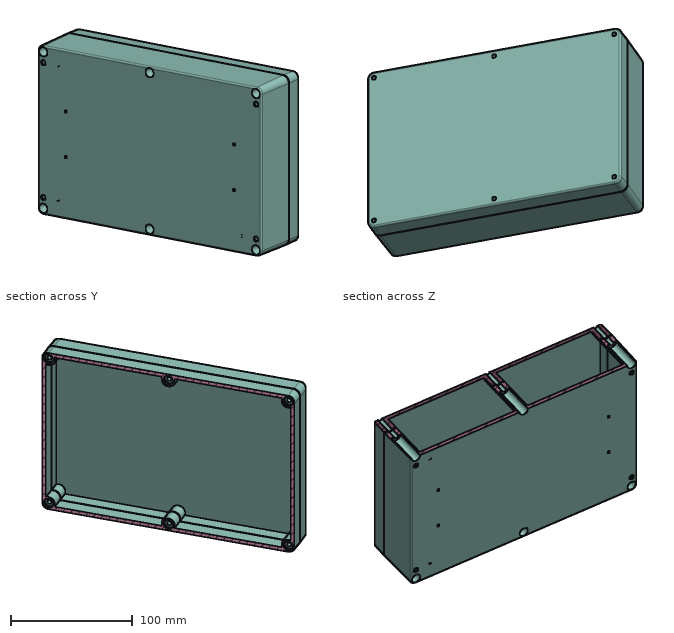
import cadquery as cq
import math


length = 222.0
depth = 55.0
height = 146.0
lid_depth = 15.0
seal_thickness = 0.9
housing_depth = depth - lid_depth - seal_thickness

housing_face_y = -depth / 2
housing_rim_y = housing_face_y + housing_depth
lid_rim_y = housing_rim_y + seal_thickness

corner_radius = 6.0
edge_radius = 1.5
draft_angle = 1.0
wall = 4.0

screw_inset = 6.0
screw_x = length / 2 - screw_inset
screw_z = height / 2 - screw_inset
screw_points = [(x, z) for x in (-screw_x, 0, screw_x) for z in (-screw_z, screw_z)]
screw_hole_diameter = 3.5
counterbore_diameter = 8.0
counterbore_depth = 30.0
screw_column_radius = 6.0

mount_z = 57.7
mount_diameter = 4.5
mount_depth = 1.5

floor_hole_skin = 0.5
pilot_x = 83.0
pilot_z = 19.5
pilot_diameter = 2.2
drill_x = 90.8
drill_z = 57.7
drill_diameter = 2.2
drill_tip_angle = 118.0


def four_points(x, z):
    """The point (x, z) and its mirror images about both axes."""
    return [(side_x * x, side_z * z) for side_x in (-1, 1) for side_z in (-1, 1)]


def plane_at(y):
    """Sketch plane at this Y: local x is X, local y is Z, the normal points to -Y."""
    return cq.Workplane("XZ", origin=(0, y, 0))


def cylinders(points, diameter, y_start, y_end):
    """Round bars along Y, from y_start to y_end."""
    return plane_at(y_start).pushPoints(points).circle(diameter / 2).extrude(y_start - y_end)


def outer_block(y_start, y_end, taper=0.0):
    """Block with round corners, of full size at y_start and narrowing by the taper angle to y_end."""
    outline = cq.Sketch().rect(length, height).vertices().fillet(corner_radius)
    return plane_at(y_start).placeSketch(outline).extrude(y_start - y_end, taper=taper)


def cavity(y_start, y_end):
    """Inner space, from y_start to y_end, that leaves the walls and the screw columns."""
    space = plane_at(y_start).rect(length - 2 * wall, height - 2 * wall).extrude(y_start - y_end)
    return space.cut(cylinders(screw_points, 2 * screw_column_radius, y_start, y_end))


def screw_holes():
    """Narrow holes that pass through all the bodies."""
    return cylinders(screw_points, screw_hole_diameter, depth / 2, -depth / 2)


def floor_holes():
    """Flat-bottomed pilot holes and point-bottomed drilled holes, open to the cavity."""
    floor_y = housing_face_y + wall
    bottom_y = housing_face_y + floor_hole_skin
    pilots = cylinders(four_points(pilot_x, pilot_z), pilot_diameter, floor_y, bottom_y)

    radius = drill_diameter / 2
    tip_length = radius / math.tan(math.radians(drill_tip_angle / 2))
    drill = (
        cq.Workplane("XY")
        .polyline([(0, bottom_y), (radius, bottom_y + tip_length), (radius, floor_y), (0, floor_y)])
        .close()
        .revolve(360, (0, 0, 0), (0, 1, 0))
    )
    drills = [drill.translate((x, 0, z)).val() for x, z in four_points(drill_x, drill_z)]
    return pilots.vals() + drills


def make_housing():
    body = outer_block(housing_rim_y, housing_face_y, draft_angle)
    body = body.faces("<Y").edges().fillet(edge_radius)
    body = body.cut(cavity(housing_rim_y, housing_face_y + wall))
    body = body.cut(screw_holes())
    counterbore_y = housing_face_y + counterbore_depth
    body = body.cut(cylinders(screw_points, counterbore_diameter, counterbore_y, housing_face_y))
    mount_points = four_points(screw_x, mount_z)
    body = body.cut(cylinders(mount_points, mount_diameter, housing_face_y + mount_depth, housing_face_y))
    for hole in floor_holes():
        body = body.cut(cq.Workplane(hole))
    return body


def make_seal():
    body = outer_block(lid_rim_y, housing_rim_y)
    return body.cut(cavity(lid_rim_y, housing_rim_y)).cut(screw_holes())


def make_lid():
    body = outer_block(lid_rim_y, depth / 2, draft_angle)
    body = body.faces(">Y").edges().fillet(edge_radius)
    return body.cut(cavity(depth / 2 - wall, lid_rim_y)).cut(screw_holes())


housing = make_housing()
seal = make_seal()
lid = make_lid()

result = cq.Compound.makeCompound([housing.val(), seal.val(), lid.val()])